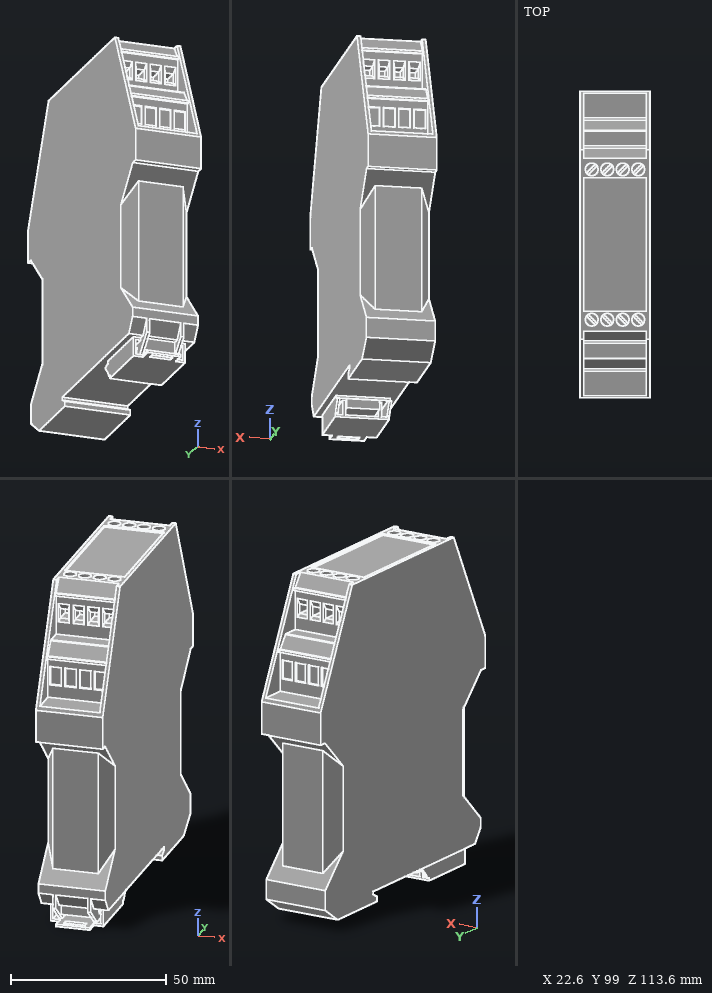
import cadquery as cq


WIDTH = 22.6
HEIGHT = 113.6
HALF_LENGTH = 49.5
HALF_TOP = 30.5
SHOULDER_Z = 75.3
FLANGE_Z = 64.4
FLANGE_INNER_Y = 46.9
WAIST_Y = 36.0
WAIST_TOP_Z = 53.8
WAIST_BOTTOM_Z = 25.0
FOOT_Y = 46.7
FOOT_TOP_Z = 14.5
BASE_Z = 6.6

HOOK_BOTTOM_Z = 2.65
HOOK_BEVEL_Z = 7.8
HOOK_BEVEL_Y = 39.2
HOOK_TIP_Y = 15.5
HOOK_TIP_Z = 4.35
HOOK_ROOT_Y = 17.8
HOOK_ROOT_Z = 5.6

CLIP_BEVEL_Y = 43.3
CLIP_BEVEL_Z = 11.3

COLUMN_Y = 42.5
COLUMN_HALF_WIDTH = 7.65

POCKET_WIDTH = 20.2
STEP_Y = 27.9
TIER_RUN = 9.0
TIER_DROP = 18.5
BEVEL_RUN = 3.2
BEVEL_DROP = 4.3
LIP = 0.8
SEAM_WIDTH = 0.3
SEAM_DEPTH = 0.2

POLE_PITCH = 5.0
POLE_COUNT = 4
POLE_X = [(i - (POLE_COUNT - 1) / 2) * POLE_PITCH for i in range(POLE_COUNT)]
ENTRY_WIDTH = 3.8
ENTRY_HEIGHT = 6.3
ENTRY_TOP_DROP = 7.9
FUNNEL_DEPTH = 0.8
BORE_WIDTH = 2.8
BORE_HEIGHT = 3.2
BORE_DEPTH = 5.0
BORE_DROP = 2.0
BLIND_ENTRY_DEPTH = 0.8
SCREW_Y = 24.25
SCREW_DIAMETER = 4.1
SCREW_DEPTH = 6.0
SCREW_SLOT_WIDTH = 0.8
SCREW_SLOT_DEPTH = 0.6
SCREW_SLOT_ANGLE = -45

LID_WIDTH = 20.2
LID_HALF_LENGTH = 21.5
LID_DEPTH = 0.5

CLIP_WIDTH = 17.8
CLIP_WALL = 0.8
CLIP_FRONT_Y = -41.1
CLIP_BACK_Y = -19.4
CLIP_NOTCH_Y = -18.6
CLIP_NOTCH_Z = 1.1
CLIP_NECK_Y = -17.5
CLIP_NECK_Z = 5.8
CLIP_NOSE_Y = -15.2
CLIP_NOSE_Z = 5.0
CHANNEL_TOP_Z = 5.7
RIB_INNER_X = 5.35
RIB_WIDTH = 1.05
RIB_TOE_Y = -39.9
TONGUE_WIDTH = 11.4
TONGUE_END_Y = -45.6
TONGUE_SLOT_WIDTH = 7.0
TONGUE_SLOT_FRONT_Y = -44.0
TONGUE_SLOT_BACK_Y = -41.9
CATCH_FRONT_Y = -38.0
CATCH_TOP_Z = 4.2
CATCH_RUN = 0.9
CATCH_WIDTH = 1.5

CUT_MARGIN = 5.0


def extrude_side(points, width, center_x=0):
    """Prism of a (Y, Z) outline, centred at center_x along X."""
    prism = cq.Workplane("YZ").polyline(points).close().extrude(width / 2, both=True)
    return prism.translate((center_x, 0, 0))


def box_between(x_limits, y_limits, z_limits):
    """Axis-aligned box given by its limits."""
    sizes = [limits[1] - limits[0] for limits in (x_limits, y_limits, z_limits)]
    corner = (x_limits[0], y_limits[0], z_limits[0])
    return cq.Workplane("XY").box(*sizes, centered=False).translate(corner)


def both_ends(end_feature):
    """The -Y end feature together with its mirror image at the +Y end."""
    return end_feature.union(end_feature.mirror("XZ"))


def make_housing():
    outline = [
        (-HALF_TOP, HEIGHT),
        (HALF_TOP, HEIGHT),
        (HALF_LENGTH, SHOULDER_Z),
        (HALF_LENGTH, FLANGE_Z),
        (FLANGE_INNER_Y, FLANGE_Z),
        (WAIST_Y, WAIST_TOP_Z),
        (WAIST_Y, WAIST_BOTTOM_Z),
        (FOOT_Y, FOOT_TOP_Z),
        (FOOT_Y, HOOK_BEVEL_Z),
        (HOOK_BEVEL_Y, HOOK_BOTTOM_Z),
        (HOOK_TIP_Y, HOOK_BOTTOM_Z),
        (HOOK_TIP_Y, HOOK_TIP_Z),
        (HOOK_ROOT_Y, HOOK_ROOT_Z),
        (HOOK_ROOT_Y, BASE_Z),
        (-CLIP_BEVEL_Y, BASE_Z),
        (-FOOT_Y, CLIP_BEVEL_Z),
        (-FOOT_Y, FOOT_TOP_Z),
        (-WAIST_Y, WAIST_BOTTOM_Z),
        (-WAIST_Y, WAIST_TOP_Z),
        (-FLANGE_INNER_Y, FLANGE_Z),
        (-HALF_LENGTH, FLANGE_Z),
        (-HALF_LENGTH, SHOULDER_Z),
    ]
    return extrude_side(outline, WIDTH)


def make_columns():
    """Column with chamfered corners, reaching past the waist at both ends."""
    outline = [
        (-WIDTH / 2, -WAIST_Y),
        (-COLUMN_HALF_WIDTH, -COLUMN_Y),
        (COLUMN_HALF_WIDTH, -COLUMN_Y),
        (WIDTH / 2, -WAIST_Y),
        (WIDTH / 2, WAIST_Y),
        (COLUMN_HALF_WIDTH, COLUMN_Y),
        (-COLUMN_HALF_WIDTH, COLUMN_Y),
        (-WIDTH / 2, WAIST_Y),
    ]
    column = cq.Workplane("XY").workplane(offset=FOOT_TOP_Z).polyline(outline).close()
    return column.extrude(FLANGE_Z - FOOT_TOP_Z)


def tier_wall_y(tier):
    """Y of the upright terminal face of a tier at the -Y end."""
    return -(STEP_Y + tier * TIER_RUN + BEVEL_RUN)


def tier_points(tier):
    """Staircase outline of one terminal tier at the -Y end, from top to floor."""
    top_z = HEIGHT - tier * TIER_DROP
    lip_top_z = top_z - BEVEL_DROP
    lip_bottom_z = lip_top_z - LIP
    wall_y = tier_wall_y(tier)
    return [
        (-(STEP_Y + tier * TIER_RUN), top_z),
        (wall_y, lip_top_z),
        (wall_y - LIP, lip_top_z),
        (wall_y - LIP, lip_bottom_z),
        (wall_y, lip_bottom_z),
        (wall_y, top_z - TIER_DROP),
    ]


def make_terminal_pocket():
    outer_y = -(HALF_LENGTH + CUT_MARGIN)
    floor_z = HEIGHT - 2 * TIER_DROP
    outline = tier_points(0) + tier_points(1) + [
        (outer_y, floor_z),
        (outer_y, HEIGHT + CUT_MARGIN),
        (-STEP_Y, HEIGHT + CUT_MARGIN),
    ]
    seam_start_y = -(STEP_Y + TIER_RUN)
    seam_z = HEIGHT - TIER_DROP
    seam = box_between(
        (-POCKET_WIDTH / 2, POCKET_WIDTH / 2),
        (seam_start_y, seam_start_y + SEAM_WIDTH),
        (seam_z - SEAM_DEPTH, seam_z),
    )
    return extrude_side(outline, POCKET_WIDTH).union(seam)


def make_funnel_entry(x):
    """Wire entry in the upper tier: a tapered mouth leading into a straight bore."""
    top_z = HEIGHT - ENTRY_TOP_DROP
    mouth_z = top_z - ENTRY_HEIGHT / 2
    bore_top_z = top_z - BORE_DROP
    bore_z = bore_top_z - BORE_HEIGHT / 2
    wall_y = tier_wall_y(0)
    mouth = cq.Workplane("XZ", origin=(x, wall_y, mouth_z)).rect(ENTRY_WIDTH, ENTRY_HEIGHT)
    mouth_end = mouth.workplane(offset=-FUNNEL_DEPTH).center(0, bore_z - mouth_z)
    funnel = mouth_end.rect(BORE_WIDTH, BORE_HEIGHT).loft(combine=True)
    bore_start_y = wall_y + FUNNEL_DEPTH
    bore = box_between(
        (x - BORE_WIDTH / 2, x + BORE_WIDTH / 2),
        (bore_start_y, bore_start_y + BORE_DEPTH),
        (bore_top_z - BORE_HEIGHT, bore_top_z),
    )
    return funnel.union(bore)


def make_blind_entry(x):
    """Shallow rectangular recess in the lower tier."""
    top_z = HEIGHT - TIER_DROP - ENTRY_TOP_DROP
    wall_y = tier_wall_y(1)
    return box_between(
        (x - ENTRY_WIDTH / 2, x + ENTRY_WIDTH / 2),
        (wall_y, wall_y + BLIND_ENTRY_DEPTH),
        (top_z - ENTRY_HEIGHT, top_z),
    )


def make_screw_hole(x):
    """Round screw well with a diagonal driver slot sunk into its floor."""
    floor_z = HEIGHT - SCREW_DEPTH
    well = cq.Workplane("XY").circle(SCREW_DIAMETER / 2).extrude(SCREW_DEPTH)
    disc = cq.Workplane("XY").circle(SCREW_DIAMETER / 2).extrude(-SCREW_SLOT_DEPTH)
    bar = cq.Workplane("XY").rect(SCREW_DIAMETER, SCREW_SLOT_WIDTH).extrude(-SCREW_SLOT_DEPTH)
    slot = bar.rotate((0, 0, 0), (0, 0, 1), SCREW_SLOT_ANGLE).intersect(disc)
    return well.union(slot).translate((x, -SCREW_Y, floor_z))


def make_lid_recess():
    return box_between(
        (-LID_WIDTH / 2, LID_WIDTH / 2),
        (-LID_HALF_LENGTH, LID_HALF_LENGTH),
        (HEIGHT - LID_DEPTH, HEIGHT),
    )


def make_clip_shell():
    """Rectangular tube along Y with a hooked nose towards the rail."""
    outline = [
        (CLIP_FRONT_Y, BASE_Z),
        (CLIP_FRONT_Y, 0),
        (CLIP_BACK_Y, 0),
        (CLIP_BACK_Y, CLIP_NOTCH_Z),
        (CLIP_NOTCH_Y, CLIP_NOTCH_Z),
        (CLIP_NECK_Y, HOOK_BOTTOM_Z),
        (CLIP_NOSE_Y, CLIP_NOSE_Z),
        (CLIP_NECK_Y, CLIP_NECK_Z),
        (CLIP_NECK_Y, BASE_Z),
    ]
    half_channel = CLIP_WIDTH / 2 - CLIP_WALL
    channel = box_between(
        (-half_channel, half_channel),
        (CLIP_FRONT_Y, CLIP_NOSE_Y),
        (CLIP_WALL, CHANNEL_TOP_Z),
    )
    return extrude_side(outline, CLIP_WIDTH).cut(channel)


def make_clip_core():
    """Block between the ribs, leaving a gap above the clip's floor."""
    return box_between(
        (-RIB_INNER_X, RIB_INNER_X),
        (CLIP_FRONT_Y, CLIP_NECK_Y),
        (HOOK_BOTTOM_Z, BASE_Z),
    )


def make_rib(side):
    """Upright rib through the clip and the bevel above, with its inner catch."""
    outline = [
        (-FOOT_Y, CLIP_BEVEL_Z),
        (-FOOT_Y, BASE_Z),
        (RIB_TOE_Y, CLIP_WALL),
        (CLIP_BACK_Y, CLIP_WALL),
        (CLIP_BACK_Y, CLIP_BEVEL_Z),
    ]
    rib = extrude_side(outline, RIB_WIDTH, side * (RIB_INNER_X + RIB_WIDTH / 2))
    catch_back_y = CATCH_FRONT_Y + CATCH_RUN
    catch_outline = [
        (CATCH_FRONT_Y, CATCH_TOP_Z),
        (catch_back_y, HOOK_BOTTOM_Z),
        (catch_back_y, CATCH_TOP_Z),
    ]
    catch_x = side * (RIB_INNER_X + RIB_WIDTH + CATCH_WIDTH / 2)
    return rib.union(extrude_side(catch_outline, CATCH_WIDTH, catch_x))


def make_tongue():
    """Slotted pull tab on the clip's floor."""
    tab = box_between(
        (-TONGUE_WIDTH / 2, TONGUE_WIDTH / 2),
        (TONGUE_END_Y, CLIP_FRONT_Y),
        (0, CLIP_WALL),
    )
    slot = box_between(
        (-TONGUE_SLOT_WIDTH / 2, TONGUE_SLOT_WIDTH / 2),
        (TONGUE_SLOT_FRONT_Y, TONGUE_SLOT_BACK_Y),
        (0, CLIP_WALL),
    )
    return tab.cut(slot)


body = make_housing().union(make_columns())
body = body.cut(both_ends(make_terminal_pocket()))
for pole_x in POLE_X:
    body = body.cut(both_ends(make_funnel_entry(pole_x)))
    body = body.cut(both_ends(make_blind_entry(pole_x)))
    body = body.cut(both_ends(make_screw_hole(pole_x)))
body = body.cut(make_lid_recess())

body = body.union(make_clip_shell()).union(make_clip_core()).union(make_tongue())
for rib_side in (-1, 1):
    body = body.union(make_rib(rib_side))

result = body